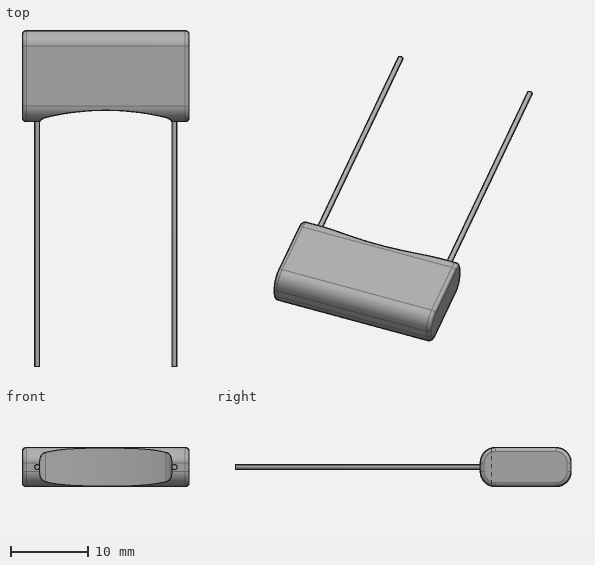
import cadquery as cq
import math

total_length = 43.45
body_width = 21.6
body_depth = 11.75
body_height = 5.1
long_edge_radius = 2.0
end_edge_radius = 0.5

hollow_half_width = 8.55
hollow_depth = 1.48
turn_half_width = 7.8
turn_depth = 0.5

lead_diameter = 0.65
lead_spacing = 17.75

front_y = -body_depth
lead_length = total_length - body_depth


def make_half_hollow(side):
    """Cutter for one half of the hollow: a wide arc, then a tangent tighter arc."""
    drop = hollow_depth - turn_depth
    main_radius = (turn_half_width**2 + drop**2) / (2 * drop)
    middle_x = turn_half_width / 2
    middle_depth = hollow_depth - main_radius + math.sqrt(main_radius**2 - middle_x**2)
    return (
        cq.Workplane("XY")
        .moveTo(0, front_y)
        .lineTo(0, front_y + hollow_depth)
        .threePointArc(
            (side * middle_x, front_y + middle_depth),
            (side * turn_half_width, front_y + turn_depth),
        )
        .tangentArcPoint((side * hollow_half_width, front_y), relative=False)
        .close()
        .extrude(body_height / 2, both=True)
    )


def make_housing():
    """Rounded box with a shallow arched hollow through its front face."""
    block = (
        cq.Workplane("XY")
        .box(body_width, body_depth, body_height)
        .translate((0, front_y / 2, 0))
        .edges("|X")
        .fillet(long_edge_radius)
        .faces("<X or >X")
        .edges()
        .fillet(end_edge_radius)
    )
    return block.cut(make_half_hollow(1)).cut(make_half_hollow(-1))


def make_lead(x):
    """Straight round wire that starts at the front face of the housing."""
    return (
        cq.Workplane("XZ", origin=(x, front_y, 0))
        .circle(lead_diameter / 2)
        .extrude(lead_length)
    )


housing = make_housing()
leads = [make_lead(side * lead_spacing / 2) for side in (-1, 1)]

result = cq.Compound.makeCompound([housing.val(), *[lead.val() for lead in leads]])